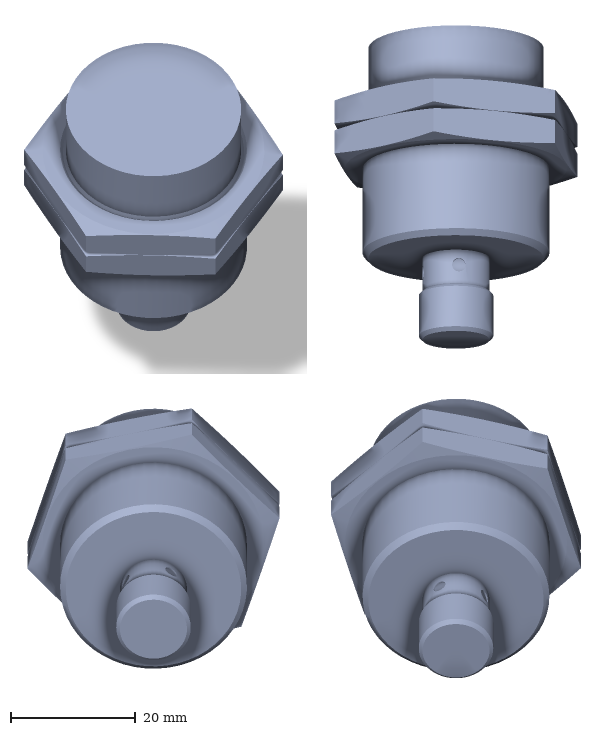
import cadquery as cq
import math

total_height = 48.5
head_height = 10.0
nut_height = 5.0
nut_count = 2
barrel_bottom = 13.55
shoulder_height = total_height - head_height

barrel_diameter = 30.0
head_diameter = 28.2
barrel_chamfer = (barrel_diameter - head_diameter) / 2

plug_diameter = 12.0
neck_diameter = 10.75
plug_height = 7.95
plug_chamfer = (plug_diameter - neck_diameter) / 2

dimple_diameter = 2.2
dimple_depth = 0.3
dimple_height = 11.0
dimple_count = 4
first_dimple_angle = 45.0

across_flats = 36.0
across_corners = across_flats / math.cos(math.pi / 6)
nut_face_diameter = 35.65
corner_chamfer_height = 0.6
nut_bore_diameter = 28.35
bore_chamfer = (barrel_diameter - nut_bore_diameter) / 2


def cylinder(diameter, bottom, top):
    """Upright cylinder on the Z axis between two heights."""
    return cq.Workplane("XY").workplane(offset=bottom).circle(diameter / 2).extrude(top - bottom)


def make_dimple_cutter(angle):
    """Radial cylinder that leaves a shallow flat-bottomed dimple in the neck."""
    floor_radius = neck_diameter / 2 - dimple_depth
    return (
        cq.Workplane("YZ")
        .workplane(offset=floor_radius)
        .center(0, dimple_height)
        .circle(dimple_diameter / 2)
        .extrude(plug_diameter / 2 - floor_radius)
        .rotate((0, 0, 0), (0, 0, 1), angle)
    )


def make_sensor():
    """Barrel, sensing head and connector plug in one piece."""
    plug = cylinder(plug_diameter, 0, plug_height).edges().chamfer(plug_chamfer)
    neck = cylinder(neck_diameter, plug_chamfer, barrel_bottom)
    barrel = cylinder(barrel_diameter, barrel_bottom, shoulder_height).edges().chamfer(barrel_chamfer)
    head = cylinder(head_diameter, shoulder_height, total_height)
    sensor = barrel.union(head).union(neck).union(plug)
    for index in range(dimple_count):
        angle = first_dimple_angle + index * 360 / dimple_count
        sensor = sensor.cut(make_dimple_cutter(angle))
    return sensor


def make_nut_envelope():
    """Revolved double cone that bevels the corners on both nut faces."""
    face_radius = nut_face_diameter / 2
    corner_radius = across_corners / 2
    return (
        cq.Workplane("XZ")
        .moveTo(0, 0)
        .lineTo(face_radius, 0)
        .lineTo(corner_radius, corner_chamfer_height)
        .lineTo(corner_radius, nut_height - corner_chamfer_height)
        .lineTo(face_radius, nut_height)
        .lineTo(0, nut_height)
        .close()
        .revolve(360, (0, 0, 0), (0, 1, 0))
    )


def make_nut(bottom, sensor):
    """Hexagonal nut with corners on the Y axis, its bore fitted to the barrel."""
    hexagon = (
        cq.Workplane("XY")
        .polygon(6, across_corners)
        .extrude(nut_height)
        .rotate((0, 0, 0), (0, 0, 1), 90)
    )
    bore = cylinder(nut_bore_diameter, 0, nut_height)
    blank = hexagon.intersect(make_nut_envelope()).cut(bore)
    bore_rims = blank.edges(cq.selectors.RadiusNthSelector(0))
    nut = bore_rims.chamfer(bore_chamfer).translate((0, 0, bottom))
    return nut.cut(sensor)


sensor = make_sensor()
nuts = []
for index in range(nut_count):
    nut_bottom = shoulder_height - (index + 1) * nut_height
    nuts.append(make_nut(nut_bottom, sensor).solids().val())

result = cq.Compound.makeCompound([sensor.solids().val(), *nuts])